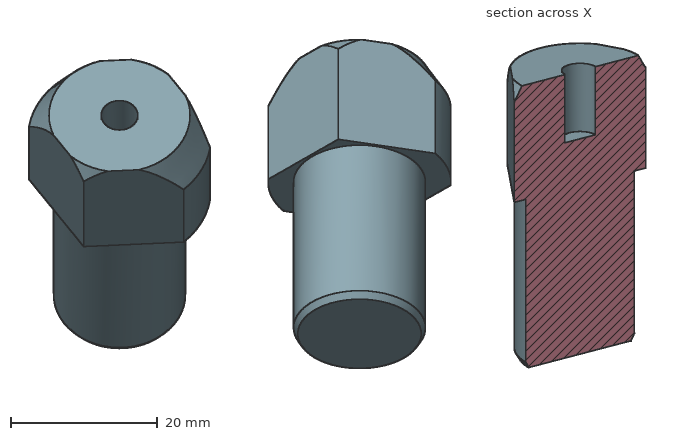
import cadquery as cq
import math

total_height = 42.0
head_height = 17.0
shank_height = total_height - head_height

head_diameter = 25.0
ridge_span = 21.67
flat_slope = math.radians(30)
top_face_diameter = 19.25
head_chamfer_slope = math.radians(60)

shank_diameter = 18.0
shank_chamfer_height = 1.0
shank_chamfer_width = shank_chamfer_height * math.tan(math.radians(30))

hole_diameter = 5.0
hole_depth = 10.1


def make_turned_body():
    """Revolve the round head and shank, with both end chamfers, about Z."""
    head_radius = head_diameter / 2
    top_radius = top_face_diameter / 2
    shank_radius = shank_diameter / 2
    head_chamfer_height = (head_radius - top_radius) * math.tan(head_chamfer_slope)
    profile = [
        (0, 0),
        (shank_radius - shank_chamfer_width, 0),
        (shank_radius, shank_chamfer_height),
        (shank_radius, shank_height),
        (head_radius, shank_height),
        (head_radius, total_height - head_chamfer_height),
        (top_radius, total_height),
        (0, total_height),
    ]
    return cq.Workplane("XZ").polyline(profile).close().revolve(360, (0, 0), (0, 1))


def make_flats_envelope():
    """Rhombic prism whose four sides are the wrench flats."""
    half_y = ridge_span / 2
    half_x = half_y / math.tan(flat_slope)
    rhombus = [(half_x, 0), (0, half_y), (-half_x, 0), (0, -half_y)]
    return cq.Workplane("XY").polyline(rhombus).close().extrude(head_height)


def make_hole():
    """Cylinder removed from the centre of the top face."""
    hole_floor = total_height - hole_depth
    return cq.Workplane("XY").workplane(offset=hole_floor).circle(hole_diameter / 2).extrude(hole_depth)


flats_envelope = make_flats_envelope().translate((0, 0, shank_height))
shank_envelope = cq.Workplane("XY").circle(head_diameter / 2).extrude(shank_height)
result = make_turned_body().intersect(flats_envelope.union(shank_envelope)).cut(make_hole())